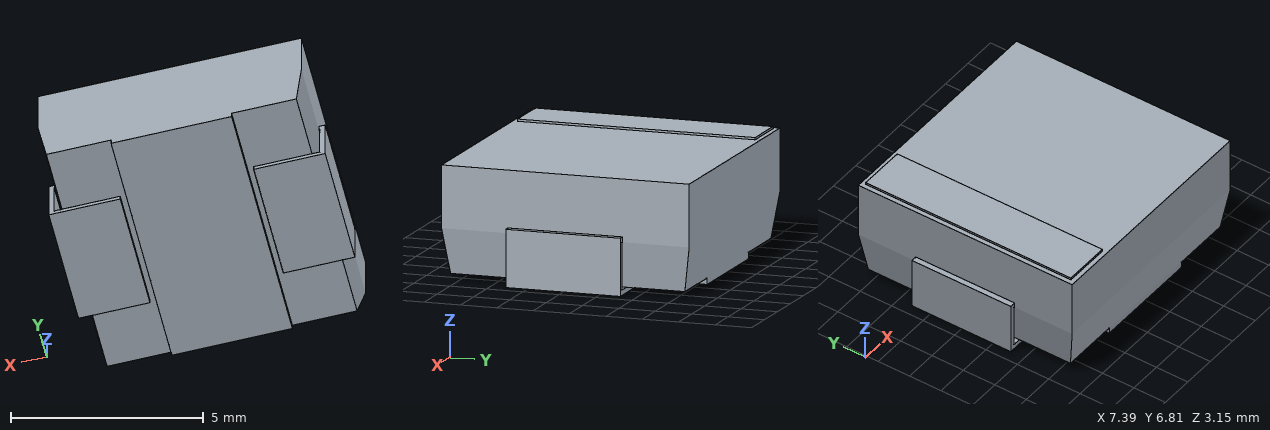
import cadquery as cq

total_length = 7.39
total_height = 3.15

housing_length = 7.05
housing_width = 6.81
housing_top = 3.09
parting_height = 1.405
housing_bottom = 0.18
taper_inset = 0.185
pedestal_length = 3.22

lead_thickness = 0.15
lead_width = 3.15
foot_length = 1.915
lead_top = parting_height + lead_thickness

bar_length = 1.405
bar_width = 6.53
bar_inset = 0.14


def make_housing():
    """Block with a tapered lower half and a pedestal under its middle."""
    bottom_length = housing_length - 2 * taper_inset
    bottom_width = housing_width - 2 * taper_inset
    upper = (
        cq.Workplane("XY", origin=(0, 0, parting_height))
        .rect(housing_length, housing_width)
        .extrude(housing_top - parting_height)
    )
    lower = (
        cq.Workplane("XY", origin=(0, 0, housing_bottom))
        .rect(bottom_length, bottom_width)
        .workplane(offset=parting_height - housing_bottom)
        .rect(housing_length, housing_width)
        .loft(ruled=True)
    )
    pedestal = cq.Workplane("XY").rect(pedestal_length, bottom_width).extrude(housing_bottom)
    return upper.union(lower).union(pedestal)


def make_lead(side):
    """C-shaped strip: tab against the housing end, upright, and foot turned inward."""
    outer = total_length / 2
    inner = outer - lead_thickness
    tab_end = housing_length / 2
    foot_end = outer - foot_length
    profile = [
        (foot_end, 0),
        (outer, 0),
        (outer, lead_top),
        (tab_end, lead_top),
        (tab_end, parting_height),
        (inner, parting_height),
        (inner, lead_thickness),
        (foot_end, lead_thickness),
    ]
    return (
        cq.Workplane("XZ")
        .polyline([(side * x, z) for x, z in profile])
        .close()
        .extrude(lead_width / 2, both=True)
    )


def make_polarity_bar():
    """Thin bar lying on the top face beside the -X end."""
    center_x = -housing_length / 2 + bar_inset + bar_length / 2
    return (
        cq.Workplane("XY", origin=(center_x, 0, housing_top))
        .rect(bar_length, bar_width)
        .extrude(total_height - housing_top)
    )


housing = make_housing()
leads = [make_lead(side) for side in (-1, 1)]
polarity_bar = make_polarity_bar()

result = cq.Compound.makeCompound(
    [housing.val(), *[lead.val() for lead in leads], polarity_bar.val()]
)